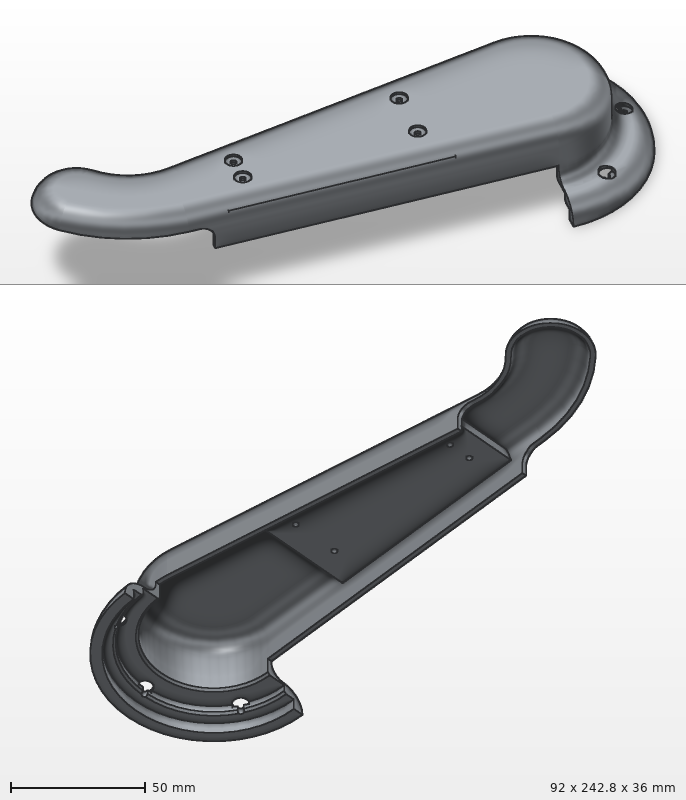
import cadquery as cq
import math

height = 36.0
wall = 2.0
top_round = 10.0
wall_bottom = 17.0

head_radius = 30.0
head_center = (0.0, 0.0)
tip_radius = 17.0
tip_center = (0.0, -180.0)
waist_radius = 27.2
waist_center = (-30.9, -148.4)
bend_start_y = -146.2
bend_drop = bend_start_y - tip_center[1]
bend_radius = (bend_drop**2 + head_radius**2 - tip_radius**2) / (2 * (head_radius - tip_radius))
bend_center = (head_radius - bend_radius, bend_start_y)
waist_distance = math.hypot(*waist_center)
slant = math.atan2(waist_center[1], waist_center[0]) - math.acos(
    (head_radius + waist_radius) / waist_distance
)

tail_bottom = 28.0
wall_end_y = -136.0
wall_end_round = 6.0

flange_radius = 46.0
flange_round = 10.0
neck_round = 6.0
recess_radius = 41.5
recess_depth = 5.0
pocket_radius = 36.5
pocket_depth = 9.0
edge_chamfer = 1.0

plate_top = 32.0
plate_bottom = tail_bottom
plate_start_y = -40.0
plate_end_y = -130.0

screw_hole = 2.4
screw_head = 6.6
top_head_depth = 1.0
top_screws = [(-6.0, -50.0), (14.0, -50.0), (6.0, -120.0), (16.0, -120.0)]
head_clearance = 5.0
flange_seat_z = 8.0
flange_screw_radius = 36.8
flange_screw_angles = [30.0, 90.0, 150.0]


def polar(center, radius, angle):
    """Point at an angle (radians) on a circle."""
    return (center[0] + radius * math.cos(angle), center[1] + radius * math.sin(angle))


def tangent_angle(center, target):
    """Direction (radians) from one circle centre to another."""
    return math.atan2(target[1] - center[1], target[0] - center[0])


def handle_outline(z, inset):
    """Closed outline of the handle, moved inwards by the inset; neighbouring curves are tangent."""
    head = head_radius - inset
    tip = tip_radius - inset
    waist = waist_radius + inset
    bend = bend_radius - inset
    bend_end = tangent_angle(bend_center, tip_center)
    tip_end = tangent_angle(tip_center, waist_center)
    tip_middle = (bend_end + tip_end) / 2 - math.pi
    waist_start = tip_end - math.pi
    waist_end = slant + math.pi
    waist_middle = (waist_start + waist_end) / 2
    head_middle = slant / 2 + math.pi
    return (
        cq.Workplane("XY", origin=(0, 0, z))
        .moveTo(head, 0)
        .lineTo(head, bend_center[1])
        .threePointArc(polar(bend_center, bend, bend_end / 2), polar(bend_center, bend, bend_end))
        .threePointArc(polar(tip_center, tip, tip_middle), polar(tip_center, tip, tip_end))
        .threePointArc(polar(waist_center, waist, waist_middle), polar(waist_center, waist, waist_end))
        .lineTo(*polar(head_center, head, slant))
        .threePointArc(polar(head_center, head, head_middle), (head, 0))
        .close()
    )


def handle_block(bottom, inset):
    """Solid handle with a rounded top edge, moved inwards by the inset."""
    block = handle_outline(bottom, inset).extrude(height - inset - bottom)
    return block.faces(">Z").edges().fillet(top_round - inset)


def half_turn(profile):
    """Turn a profile in the XZ plane half way round Z, over the +Y side."""
    return profile.revolve(180, (0, 0, 0), (0, 1, 0))


def flange_block():
    """Half-round flange, blended into the neck by a hollow round."""
    shoulder = flange_radius - flange_round
    bulge = polar((shoulder, 0), flange_round, math.pi / 4)
    hollow = polar((shoulder, flange_round + neck_round), neck_round, -3 * math.pi / 4)
    profile = (
        cq.Workplane("XZ")
        .lineTo(flange_radius, 0)
        .threePointArc(bulge, (shoulder, flange_round))
        .threePointArc(hollow, (head_radius, flange_round + neck_round))
        .lineTo(head_radius, wall_bottom)
        .lineTo(0, wall_bottom)
        .close()
    )
    return half_turn(profile)


def flange_hollow():
    """Stepped hollow under the flange: recess and pocket, with chamfered inner edges."""
    bore = head_radius - wall
    profile = (
        cq.Workplane("XZ")
        .lineTo(recess_radius, 0)
        .lineTo(recess_radius, recess_depth)
        .lineTo(pocket_radius + edge_chamfer, recess_depth)
        .lineTo(pocket_radius, recess_depth + edge_chamfer)
        .lineTo(pocket_radius, pocket_depth)
        .lineTo(bore + edge_chamfer, pocket_depth)
        .lineTo(bore, pocket_depth + edge_chamfer)
        .lineTo(0, pocket_depth + edge_chamfer)
        .close()
    )
    return half_turn(profile)


def tail_relief():
    """Block below the tail; its rounded corner ends the handle walls in a hollow curve."""
    length = wall_end_y - tip_center[1] + 2 * tip_radius
    block = (
        cq.Workplane("XY", origin=(0, wall_end_y - length / 2, 0))
        .box(4 * head_radius, length, tail_bottom, centered=(True, True, False))
    )
    return block.edges(">Y and >Z").fillet(wall_end_round)


def screw_cutter(x, y, seat_z):
    """Through hole with a flat seat for the screw head."""
    hole = cq.Workplane("XY").center(x, y).circle(screw_hole / 2).extrude(seat_z)
    head = cq.Workplane("XY", origin=(x, y, seat_z)).circle(screw_head / 2).extrude(head_clearance)
    return hole.union(head)


def plate_block():
    """Square-edged plate that fills the handle between the two walls."""
    length = plate_start_y - plate_end_y
    window = cq.Workplane("XY", origin=(0, plate_start_y - length / 2, 0)).box(
        4 * head_radius, length, 2 * height
    )
    outline = handle_outline(plate_bottom, wall).extrude(plate_top - plate_bottom)
    return outline.intersect(window)


def make_plate():
    plate = plate_block()
    for x, y in top_screws:
        plate = plate.cut(screw_cutter(x, y, height))
    return plate


def make_cover():
    cover = handle_block(wall_bottom, 0).union(flange_block(), clean=False)
    cover = cover.cut(handle_block(0, wall), clean=False)
    cover = cover.cut(flange_hollow(), clean=False)
    cover = cover.cut(tail_relief(), clean=False)
    for x, y in top_screws:
        cover = cover.cut(screw_cutter(x, y, height - top_head_depth), clean=False)
    cover = cover.cut(plate_block(), clean=False)
    for angle in flange_screw_angles:
        x, y = polar(head_center, flange_screw_radius, math.radians(angle))
        cover = cover.cut(screw_cutter(x, y, flange_seat_z), clean=False)
    return cover


cover = make_cover()
plate = make_plate()
result = cq.Compound.makeCompound([cover.val(), plate.val()])